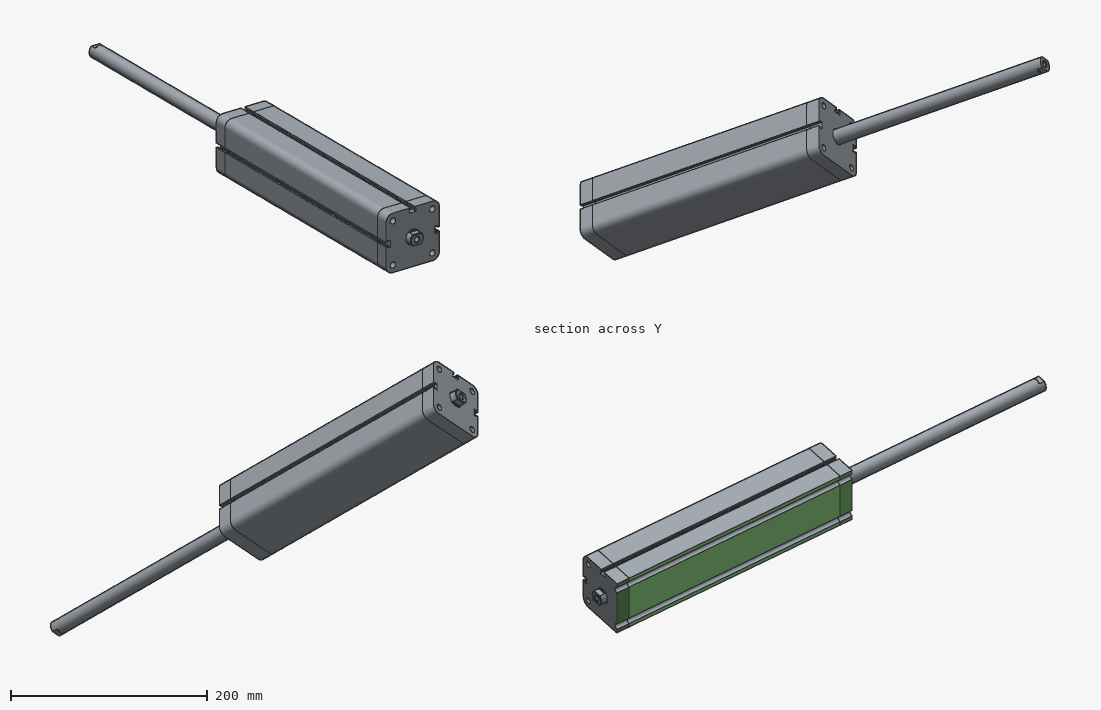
import cadquery as cq
import math

TOTAL_LENGTH = 561.0
HOUSING_SIDE = 67.0
CORNER_RADIUS = 8.5

FRONT_CAP_START = 257.0
HOUSING_LENGTH = 296.0
CAP_THICKNESS = 15.0
TUBE_LENGTH = HOUSING_LENGTH - 2 * CAP_THICKNESS
TUBE_START = FRONT_CAP_START + CAP_THICKNESS
REAR_CAP_START = TUBE_START + TUBE_LENGTH

GROOVE_WIDTH = 5.0
GROOVE_DEPTH = 5.5
GROOVE_LIP = 2.0
GROOVE_INNER_WIDTH = 8.0
GROOVE_TURNS = (-90, 0, 90)

BOLT_HOLE_DIAMETER = 7.0
BOLT_SPACING = 49.5

ROD_DIAMETER = 16.0
FLAT_HEIGHT = 13.0
FRONT_FLAT_LENGTH = 6.0
REAR_FLAT_LENGTH = 7.0
REAR_CHAMFER = 0.85
END_HOLE_DIAMETER = 5.5
END_HOLE_DEPTH = 17.0
COUNTERSINK_DEPTH = 0.85
DRILL_TIP_ANGLE = 118.0

TUBE_BORE_DIAMETER = ROD_DIAMETER
CAP_BORE_DIAMETER = 17.5


def side_plane(x):
    """Plane at station x facing +X, with local x along +Y and local y along +Z."""
    return cq.Workplane("YZ", origin=(x, 0, 0))


def groove_cutter(start, length, turn):
    """Undercut groove in the top face, turned about the X axis by the given angle."""
    face = HOUSING_SIDE / 2
    slot = side_plane(start).center(0, face).rect(GROOVE_WIDTH, 2 * GROOVE_DEPTH).extrude(length)
    undercut_height = GROOVE_DEPTH - GROOVE_LIP
    undercut = (
        side_plane(start)
        .center(0, face - GROOVE_DEPTH + undercut_height / 2)
        .rect(GROOVE_INNER_WIDTH, undercut_height)
        .extrude(length)
    )
    return slot.union(undercut).rotate((0, 0, 0), (1, 0, 0), turn)


def housing_section(start, length, bore_diameter):
    """Square length of housing with rounded corners, grooves, bolt holes and the rod bore."""
    section = side_plane(start).rect(HOUSING_SIDE, HOUSING_SIDE).extrude(length)
    section = section.edges("|X").fillet(CORNER_RADIUS)
    for turn in GROOVE_TURNS:
        section = section.cut(groove_cutter(start, length, turn))
    bolt_holes = (
        side_plane(start)
        .rect(BOLT_SPACING, BOLT_SPACING, forConstruction=True)
        .vertices()
        .circle(BOLT_HOLE_DIAMETER / 2)
        .extrude(length)
    )
    rod_bore = side_plane(start).circle(bore_diameter / 2).extrude(length)
    return section.cut(bolt_holes).cut(rod_bore)


def flats_cutter(start, length):
    """Two blocks that leave flats above and below the rod axis."""
    flat_offset = (FLAT_HEIGHT + ROD_DIAMETER) / 2
    return (
        side_plane(start)
        .pushPoints([(0, -flat_offset), (0, flat_offset)])
        .rect(ROD_DIAMETER, ROD_DIAMETER)
        .extrude(length)
    )


def end_hole_cutter():
    """Countersunk hole entering the rod at X = 0, with a conical drill tip at its bottom."""
    hole_radius = END_HOLE_DIAMETER / 2
    tip_depth = hole_radius / math.tan(math.radians(DRILL_TIP_ANGLE / 2))
    half_profile = [
        (0, 0),
        (0, hole_radius + COUNTERSINK_DEPTH),
        (COUNTERSINK_DEPTH, hole_radius),
        (END_HOLE_DEPTH, hole_radius),
        (END_HOLE_DEPTH + tip_depth, 0),
    ]
    return cq.Workplane("XZ").polyline(half_profile).close().revolve(360, (0, 0), (1, 0))


def make_rod():
    """Through rod with wrench flats and a blind axial hole at each end, chamfered at the rear."""
    rod = side_plane(0).circle(ROD_DIAMETER / 2).extrude(TOTAL_LENGTH)
    rod = rod.cut(flats_cutter(0, FRONT_FLAT_LENGTH))
    rod = rod.cut(flats_cutter(TOTAL_LENGTH - REAR_FLAT_LENGTH, REAR_FLAT_LENGTH))
    rod = rod.faces(">X").chamfer(REAR_CHAMFER)
    front_hole = end_hole_cutter()
    rear_hole = front_hole.mirror("YZ").translate((TOTAL_LENGTH, 0, 0))
    return rod.cut(front_hole).cut(rear_hole)


tube = housing_section(TUBE_START, TUBE_LENGTH, TUBE_BORE_DIAMETER)
caps = [
    housing_section(start, CAP_THICKNESS, CAP_BORE_DIAMETER)
    for start in (FRONT_CAP_START, REAR_CAP_START)
]
rod = make_rod()

result = cq.Compound.makeCompound([tube.val(), *[cap.val() for cap in caps], rod.val()])